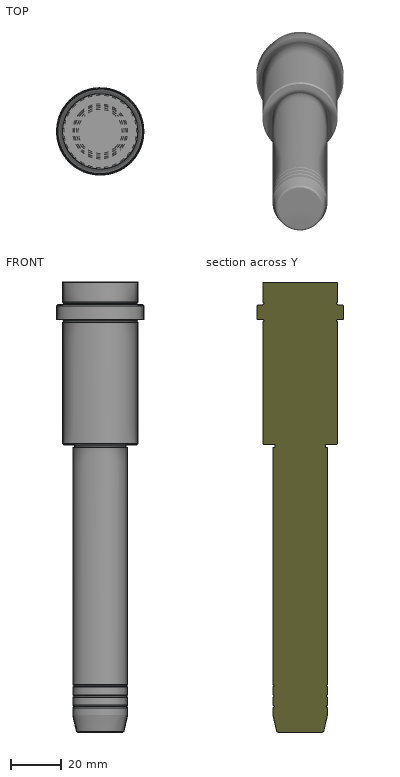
import cadquery as cq

total_length = 180.0
edge_break = 0.5

sleeve_diameter = 30.0
collar_diameter = 35.0
collar_height = 6.0
collar_top = total_length - 9.0
collar_bottom = collar_top - collar_height
sleeve_bottom = total_length - 65.0

relief_width = 1.0
relief_depth = 0.5

pin_diameter = 22.0
neck_diameter = 20.5
neck_height = 1.0

tip_diameter = 18.7
taper_height = 7.0

groove_count = 3
first_groove_rise = 3.5
groove_pitch = 4.1
groove_width = 1.0
groove_depth = 0.5


def cylinder(diameter, bottom, top):
    return cq.Workplane("XY").workplane(offset=bottom).circle(diameter / 2).extrude(top - bottom)


def ring_groove(diameter, depth, bottom, width):
    """Ring that cuts a V-shaped groove into a shaft of the given diameter."""
    radius = diameter / 2
    clearance = 1.8
    profile = [
        (radius + clearance, bottom),
        (radius, bottom),
        (radius - depth, bottom + width / 2),
        (radius, bottom + width),
        (radius + clearance, bottom + width),
    ]
    return cq.Workplane("XZ").polyline(profile).close().revolve(360, (0, 0, 0), (0, 1, 0))


sleeve = cylinder(sleeve_diameter, sleeve_bottom, total_length).faces("<Z").edges().chamfer(edge_break)
for relief_bottom in (collar_top, collar_bottom - relief_width):
    sleeve = sleeve.cut(ring_groove(sleeve_diameter, relief_depth, relief_bottom, relief_width))

collar = cylinder(collar_diameter, collar_bottom, collar_top).faces(">Z").edges().chamfer(edge_break)

neck_bottom = sleeve_bottom - neck_height
neck = cylinder(neck_diameter, neck_bottom, sleeve_bottom)
pin = cylinder(pin_diameter, taper_height, neck_bottom)
for index in range(groove_count):
    groove_center = taper_height + first_groove_rise + index * groove_pitch
    groove_bottom = groove_center - groove_width / 2
    pin = pin.cut(ring_groove(pin_diameter, groove_depth, groove_bottom, groove_width))

tip = (
    cq.Workplane("XY")
    .circle(tip_diameter / 2)
    .workplane(offset=taper_height)
    .circle(pin_diameter / 2)
    .loft(ruled=True)
    .faces("<Z")
    .edges()
    .chamfer(edge_break)
)

result = sleeve.union(collar).union(neck).union(pin).union(tip)